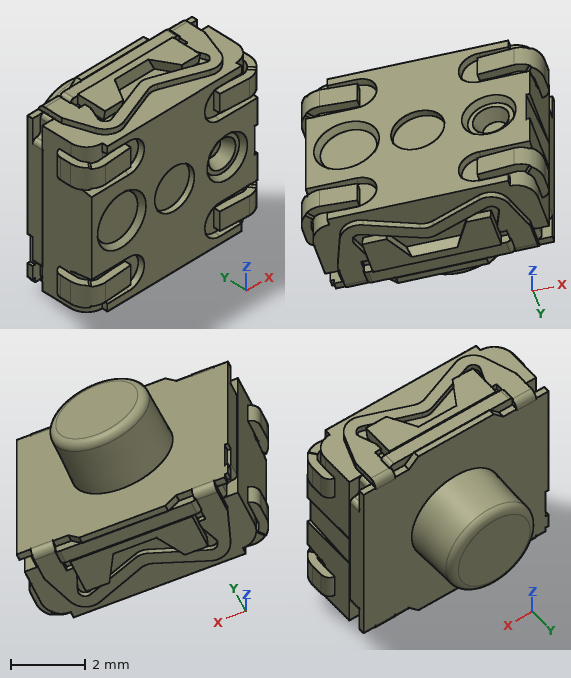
import cadquery as cq
import math


body_half_x = 3.15
body_half_z = 2.81
body_depth = 1.89
corner_radius = 0.605

recess_depth = 0.2
pocket_half_width = 0.57
pocket_z = 1.97
pocket_arc_x = 1.72
pocket_taper = 10.0
corner_wall_draft = 10.0

dish_x = 2.0
left_dish_diameter = 1.835
left_dish_floor_diameter = 1.585
centre_dish_diameter = 1.5
right_dish_diameter = 1.52
right_dish_floor_diameter = 1.3
bore_diameter = 1.02
bore_floor_diameter = 0.695
bore_depth = 0.415

edge_notch_half_width = 0.49
edge_notch_depth = 0.1

latch_half_width = 1.8
latch_low_y = 0.835
latch_outer_z = 3.15
latch_undercut = 0.07
notch_top_half_width = 0.64
notch_bottom_half_width = 1.115
notch_outer_top_y = 1.65
notch_inner_top_y = 1.55

middle_half_x = 3.12
middle_thickness = 0.4
middle_top_y = body_depth + middle_thickness
step_start_z = 1.95
step_radius = 0.15
tongue_half_width = 2.09
tongue_outer_z = 3.1

cover_thickness = 0.2
cover_top_y = middle_top_y + cover_thickness
lip_outer_z = 3.12
lip_half_width = 1.27
lip_slope_half_width = 1.59
mark_depth = 0.1
mark_upper_z = -1.21
mark_lower_z = -2.2
corner_mark_z = -2.665

clip_thickness = 0.19
clip_outer_z = body_half_z + clip_thickness
clip_half_width = 2.705
clip_taper_y = 1.585
clip_bend_radius = 0.24
window_half_width = 2.05
window_neck_half_width = 1.84
window_step_y = 1.58
window_taper_y = 1.36

lead_half_x = 3.4
lead_z = 2.0
lead_thickness = 0.26
lead_bend_radius = 0.665
lead_bottom_y = -0.1
lead_tip_x = 1.685
lead_tip_rise = 0.07
lead_top_y = 1.23
lead_top_radius = 0.285
lead_half_width = 0.38
lead_foot_half_width = 0.33
lead_taper_angle = 51.0
lead_taper_half_length = 0.035

button_top_y = 4.195
button_base_radius = 1.495
button_top_radius = 1.45
button_edge_radius = 0.245

cut_clearance = 0.68

half_sine = math.sin(math.radians(45))


def mirror_x(solid):
    return solid.union(solid.mirror("YZ"))


def mirror_z(solid):
    return solid.union(solid.mirror("XY"))


def four_way(solid):
    """Repeat a solid in all four X/Z quadrants."""
    return mirror_z(mirror_x(solid))


def facing_y(y):
    """Plane at height y with local axes X and Z; extruding runs toward -Y."""
    return cq.Workplane("XZ", origin=(0, y, 0))


def box(x_range, y_range, z_range):
    """Box given by its limits along each axis."""
    limits = (x_range, y_range, z_range)
    sizes = [high - low for low, high in limits]
    return cq.Workplane("XY").box(*sizes, centered=False).translate([low for low, _ in limits])


def cone_recess(x, top_y, depth, diameter, floor_diameter):
    """Round recess going toward +Y from top_y, narrowing to its floor."""
    cone = cq.Solid.makeCone(
        diameter / 2, floor_diameter / 2, depth, pnt=cq.Vector(x, top_y, 0), dir=cq.Vector(0, 1, 0)
    )
    return cq.Workplane(cone)


def lead_pocket():
    """Round-ended pocket that lets one lead foot lie below the mounting face."""
    low_z = pocket_z - pocket_half_width
    high_z = pocket_z + pocket_half_width
    outside_x = -lead_half_x - cut_clearance
    return (
        facing_y(0)
        .moveTo(outside_x, low_z)
        .lineTo(-pocket_arc_x, low_z)
        .threePointArc((pocket_half_width - pocket_arc_x, pocket_z), (-pocket_arc_x, high_z))
        .lineTo(outside_x, high_z)
        .close()
        .extrude(-recess_depth, taper=pocket_taper)
    )


def corner_relief():
    """Material removed around a rounded housing edge, bounded by a drafted wall."""
    flat_x = body_half_x - corner_radius
    centre_y = recess_depth + corner_radius
    outside_x = body_half_x + cut_clearance
    outside_z = body_half_z + cut_clearance
    wall_z = pocket_z - pocket_half_width
    wall_shift = centre_y * math.tan(math.radians(corner_wall_draft))
    arc_middle = (-flat_x - corner_radius * half_sine, centre_y - corner_radius * half_sine)
    profile = (
        cq.Workplane("XY")
        .moveTo(-flat_x, 0)
        .lineTo(-flat_x, recess_depth)
        .threePointArc(arc_middle, (-body_half_x, centre_y))
        .lineTo(-outside_x, centre_y)
        .lineTo(-outside_x, 0)
        .close()
        .extrude(outside_z)
    )
    drafted_zone = (
        cq.Workplane("YZ")
        .polyline([(0, wall_z), (centre_y, wall_z + wall_shift), (centre_y, outside_z), (0, outside_z)])
        .close()
        .extrude(-outside_x)
    )
    return profile.intersect(drafted_zone)


def edge_notch():
    """Sloping notch in the +X edge of the mounting face."""
    return (
        cq.Workplane("XY", origin=(0, 0, -edge_notch_half_width))
        .polyline([(body_half_x - edge_notch_depth, 0), (body_half_x, 0), (body_half_x, body_depth)])
        .close()
        .extrude(2 * edge_notch_half_width)
    )


def housing():
    block = box((-body_half_x, body_half_x), (0, body_depth), (-body_half_z, body_half_z))
    block = block.cut(four_way(corner_relief()))
    block = block.cut(four_way(lead_pocket()))
    recesses = [
        cone_recess(-dish_x, 0, recess_depth, left_dish_diameter, left_dish_floor_diameter),
        facing_y(0).circle(centre_dish_diameter / 2).extrude(-recess_depth),
        cone_recess(dish_x, 0, recess_depth, right_dish_diameter, right_dish_floor_diameter),
        cone_recess(dish_x, recess_depth, bore_depth, bore_diameter, bore_floor_diameter),
        edge_notch(),
    ]
    for recess in recesses:
        block = block.cut(recess)
    return block


def latch_block():
    """Undercut block on the +Z side with a trapezoid notch whose roof slopes inward."""
    block = (
        cq.Workplane("YZ")
        .polyline(
            [
                (latch_low_y, latch_outer_z),
                (body_depth, latch_outer_z),
                (body_depth, body_half_z),
                (latch_low_y + latch_undercut, body_half_z),
            ]
        )
        .close()
        .extrude(latch_half_width, both=True)
    )
    side_slope = (notch_bottom_half_width - notch_top_half_width) / (notch_outer_top_y - latch_low_y)

    def notch_outline(top_y, undercut):
        bottom = notch_bottom_half_width + undercut
        top = bottom - side_slope * (top_y - latch_low_y)
        return [(-bottom, latch_low_y), (bottom, latch_low_y), (top, top_y), (-top, top_y)]

    notch = (
        cq.Workplane("XY", origin=(0, 0, body_half_z))
        .polyline(notch_outline(notch_inner_top_y, latch_undercut))
        .close()
        .workplane(offset=latch_outer_z - body_half_z)
        .polyline(notch_outline(notch_outer_top_y, 0))
        .close()
        .loft(ruled=True)
    )
    return block.cut(notch)


def middle_layer():
    """Layer under the cover with stepped corners and a tongue on the Z sides."""
    r = step_radius
    step_x = -middle_half_x + 2 * r
    near = r * (1 - half_sine)
    far = r * half_sine
    quarter = (
        facing_y(middle_top_y)
        .lineTo(-middle_half_x, 0)
        .lineTo(-middle_half_x, step_start_z)
        .threePointArc((-middle_half_x + near, step_start_z + far), (-middle_half_x + r, step_start_z + r))
        .threePointArc((step_x - near, step_start_z + r + near), (step_x, step_start_z + 2 * r))
        .lineTo(step_x, body_half_z - r)
        .threePointArc((step_x + near, body_half_z - near), (step_x + r, body_half_z))
        .lineTo(-tongue_half_width, body_half_z)
        .lineTo(-tongue_half_width, tongue_outer_z - r)
        .threePointArc(
            (-tongue_half_width + near, tongue_outer_z - near), (-tongue_half_width + r, tongue_outer_z)
        )
        .lineTo(0, tongue_outer_z)
        .close()
        .extrude(middle_thickness)
    )
    return four_way(quarter)


def cover_plate():
    """Cover with a raised lip on the Z sides and orientation marks on the -X edge."""
    quarter = (
        facing_y(cover_top_y)
        .lineTo(-middle_half_x, 0)
        .lineTo(-middle_half_x, body_half_z)
        .lineTo(-lip_slope_half_width, body_half_z)
        .lineTo(-lip_half_width, lip_outer_z)
        .lineTo(0, lip_outer_z)
        .close()
        .extrude(cover_thickness)
    )
    plate = four_way(quarter)
    for low_z, high_z in ((mark_lower_z, mark_upper_z), (-body_half_z, corner_mark_z)):
        mark = box(
            (-middle_half_x, -middle_half_x + mark_depth), (middle_top_y, cover_top_y), (low_z, high_z)
        )
        plate = plate.cut(mark)
    return plate


def clip_prism(left_points, middle_point):
    """Symmetric prism of clip thickness from its left half outline and its point on X = 0."""
    right_points = [(-x, y) for x, y in reversed(left_points)]
    return (
        cq.Workplane("XY", origin=(0, 0, body_half_z))
        .polyline(left_points + [middle_point] + right_points)
        .close()
        .extrude(clip_thickness)
    )


def round_clip_corners(prism, corners, radius):
    """Round the edges parallel to Z that stand at the given points."""
    for x, y in corners:
        nearest = cq.selectors.NearestToPointSelector((x, y, body_half_z + clip_thickness / 2))
        prism = prism.edges("|Z").edges(nearest).fillet(radius)
    return prism


def spring_clip():
    """Wavy clip on the +Z side, with a window around the latch block."""
    outer_corner = (-2.175, 0.08)
    outer_apex = (0, 0.91)
    outer_corner_radius = 0.57
    window_corner = (-2.2, 0.455)
    window_apex = (0, 1.265)
    window_corner_radius = 0.205
    apex_radius = 0.51

    def both_sides(point):
        return [point, (-point[0], point[1])]

    outline = clip_prism(
        [(-clip_half_width, cover_top_y), (-clip_half_width, clip_taper_y), outer_corner], outer_apex
    )
    outline = round_clip_corners(outline, both_sides(outer_corner), outer_corner_radius)
    outline = round_clip_corners(outline, [outer_apex], apex_radius)

    window = clip_prism(
        [
            (-window_half_width, cover_top_y),
            (-window_half_width, window_step_y),
            (-window_neck_half_width, window_step_y),
            (-window_neck_half_width, window_taper_y),
            window_corner,
        ],
        window_apex,
    )
    window = round_clip_corners(window, both_sides(window_corner), window_corner_radius)
    window = round_clip_corners(window, [window_apex], apex_radius)

    return outline.cut(window)


def bend_relief():
    """Material outside the rounded bend between the cover and one clip arm."""
    inner_y = cover_top_y - clip_bend_radius
    inner_z = clip_outer_z - clip_bend_radius
    reach = clip_bend_radius * half_sine
    return (
        cq.Workplane("YZ", origin=(-clip_half_width, 0, 0))
        .moveTo(inner_y, clip_outer_z)
        .threePointArc((inner_y + reach, inner_z + reach), (cover_top_y, inner_z))
        .lineTo(cover_top_y, clip_outer_z)
        .close()
        .extrude(clip_half_width - window_half_width)
    )


def lead():
    """J-shaped lead on the -X side at +Z, with a narrower foot."""
    centre_x = -lead_half_x + lead_bend_radius
    centre_y = lead_bottom_y + lead_bend_radius
    inner_radius = lead_bend_radius - lead_thickness
    inner_x = -lead_half_x + lead_thickness
    inner_y = lead_bottom_y + lead_thickness

    def bend_middle(radius):
        return (centre_x - radius * half_sine, centre_y - radius * half_sine)

    top_arc_middle = (
        -lead_half_x + lead_top_radius * (1 - half_sine),
        lead_top_y - lead_top_radius * (1 - half_sine),
    )
    blank = (
        cq.Workplane("XY", origin=(0, 0, lead_z - lead_half_width))
        .moveTo(-lead_tip_x, lead_bottom_y + lead_tip_rise)
        .lineTo(centre_x, lead_bottom_y)
        .threePointArc(bend_middle(lead_bend_radius), (-lead_half_x, centre_y))
        .lineTo(-lead_half_x, lead_top_y - lead_top_radius)
        .threePointArc(top_arc_middle, (-lead_half_x + lead_top_radius, lead_top_y))
        .lineTo(-lead_half_x + lead_top_radius, centre_y + lead_thickness)
        .lineTo(inner_x, centre_y + lead_thickness)
        .lineTo(inner_x, centre_y)
        .threePointArc(bend_middle(inner_radius), (centre_x, inner_y))
        .lineTo(-lead_tip_x, inner_y + lead_tip_rise)
        .close()
        .extrude(2 * lead_half_width)
    )

    angle = math.radians(lead_taper_angle)
    trim_plane = cq.Plane(
        origin=(centre_x, centre_y, lead_z),
        xDir=(math.sin(angle), -math.cos(angle), 0),
        normal=(-math.cos(angle), -math.sin(angle), 0),
    )
    far_end = lead_half_x
    for side in (-1, 1):
        trim = (
            cq.Workplane(trim_plane)
            .polyline(
                [
                    (-lead_taper_half_length, side * lead_half_width),
                    (lead_taper_half_length, side * lead_foot_half_width),
                    (far_end, side * lead_foot_half_width),
                    (far_end, side * lead_half_width),
                ]
            )
            .close()
            .extrude(2 * lead_bend_radius, both=True)
        )
        blank = blank.cut(trim)
    return blank


def button():
    """Slightly conical button with a rounded top edge."""
    height = button_top_y - cover_top_y
    base_centre = cq.Vector(0, cover_top_y, 0)
    cone = cq.Solid.makeCone(
        button_base_radius, button_top_radius, height, pnt=base_centre, dir=cq.Vector(0, 1, 0)
    )
    return cq.Workplane(cone).faces(">Y").edges().fillet(button_edge_radius)


result = (
    housing()
    .union(mirror_z(latch_block()))
    .union(middle_layer())
    .union(cover_plate())
    .union(mirror_z(spring_clip()))
    .cut(four_way(bend_relief()))
    .union(four_way(lead()))
    .union(button())
)